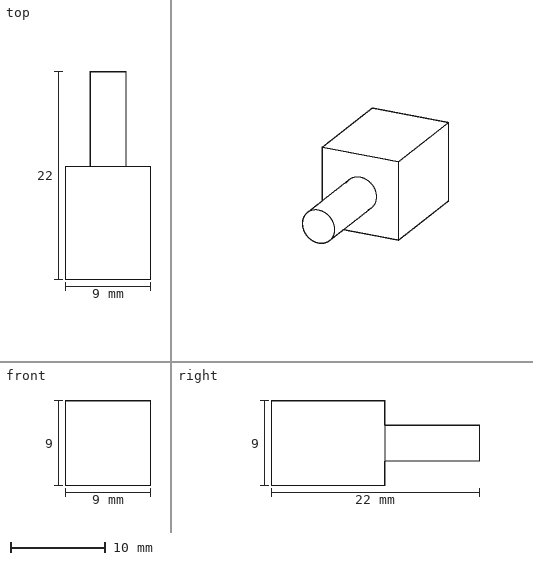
import cadquery as cq

total_length = 22.0
block_side = 9.0
block_length = 12.0
pin_diameter = 3.8
pin_length = total_length - block_length

block = cq.Workplane("XY").box(block_side, block_length, block_side, centered=(True, False, True))

pin = block.faces(">Y").workplane(centerOption="CenterOfMass").circle(pin_diameter / 2).extrude(
    pin_length, combine=False
)

result = block.union(pin)